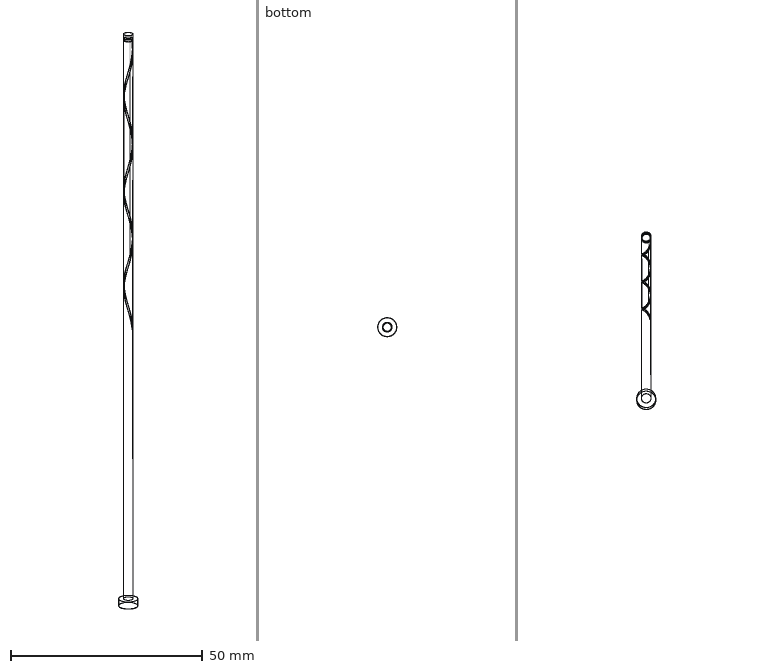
import cadquery as cq
import math

total_length = 160.0
head_diameter = 5.0
head_height = 2.0
shank_diameter = 2.5

groove_width = 0.5
groove_depth = 0.15

ring_distance_from_tip = 1.5

helix_pitch = 26.5
helix_turns = 3.0
helix_distance_from_tip = 2.5

shank_radius = shank_diameter / 2
groove_floor_radius = shank_radius - groove_depth
ring_height = total_length - ring_distance_from_tip
helix_length = helix_pitch * helix_turns
helix_bottom = total_length - helix_distance_from_tip - helix_length
lead_angle = math.atan2(helix_pitch, math.pi * shank_diameter)
helix_axial_width = groove_width / math.cos(lead_angle)
cutter_overlap = 0.1


def make_pin():
    head = cq.Workplane("XY").circle(head_diameter / 2).extrude(head_height)
    shank = cq.Workplane("XY").circle(shank_radius).extrude(total_length)
    return head.union(shank)


def make_ring_cutter():
    return (
        cq.Workplane("XY")
        .workplane(offset=ring_height - groove_width / 2)
        .circle(shank_radius + cutter_overlap)
        .circle(groove_floor_radius)
        .extrude(groove_width)
    )


def make_helix_cutter():
    """Rectangular thread form starting on the +Y side and rising counterclockwise."""
    path = cq.Wire.makeHelix(helix_pitch, helix_length, shank_radius)
    cutter = (
        cq.Workplane("XZ")
        .center((groove_floor_radius + shank_radius + cutter_overlap) / 2, 0)
        .rect(groove_depth + cutter_overlap, helix_axial_width)
        .sweep(cq.Workplane(path), isFrenet=True)
    )
    return cutter.rotate((0, 0, 0), (0, 0, 1), 90).translate((0, 0, helix_bottom))


result = make_pin().cut(make_ring_cutter()).cut(make_helix_cutter())